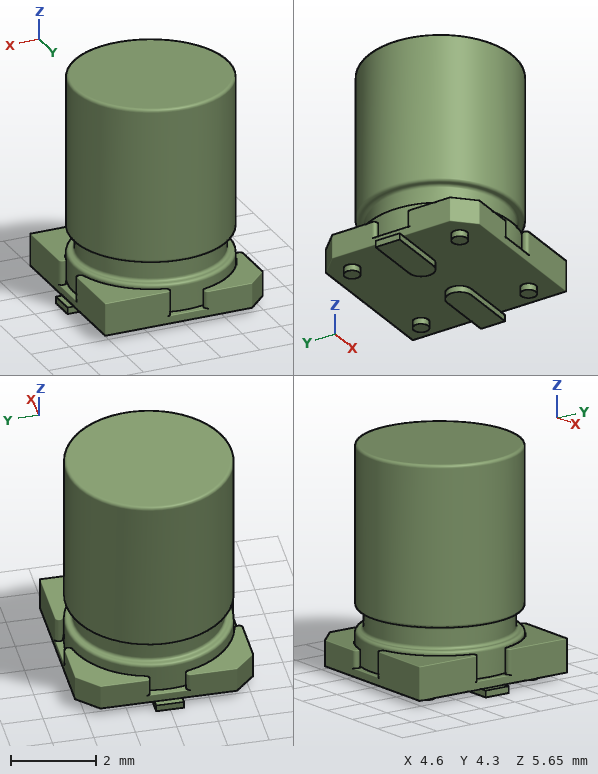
import cadquery as cq

total_height = 5.65
lead_span = 4.6
base_width = 4.3

can_radius = 4.0 / 2
neck_radius = 3.6 / 2
can_fillet = 0.08
upper_crimp_z = 1.665
lower_crimp_z = 1.11

base_bottom = 0.17
low_corner_top = 0.82
high_corner_top = 1.01
notch_floor = 0.385
notch_width = 0.875
post_fillet = 0.09
corner_cut = 0.505
edge_round = 0.02
bore_clearance = 0.02

lead_width = 0.67
lead_inner_end = 0.5
peg_diameter = 0.4
peg_spacing = 3.005

half_base = base_width / 2
tolerance = 0.0005


def make_can():
    """Revolve the can outline: rounded top edge and an S-shaped step at each end of the neck."""
    profile = (
        cq.Workplane("XZ")
        .moveTo(0, notch_floor)
        .lineTo(can_radius, notch_floor)
        .lineTo(can_radius, lower_crimp_z - can_fillet)
        .radiusArc((can_radius - can_fillet, lower_crimp_z), -can_fillet)
        .lineTo(neck_radius + can_fillet, lower_crimp_z)
        .radiusArc((neck_radius, lower_crimp_z + can_fillet), can_fillet)
        .lineTo(neck_radius, upper_crimp_z - can_fillet)
        .radiusArc((neck_radius + can_fillet, upper_crimp_z), can_fillet)
        .lineTo(can_radius - can_fillet, upper_crimp_z)
        .radiusArc((can_radius, upper_crimp_z + can_fillet), -can_fillet)
        .lineTo(can_radius, total_height - can_fillet)
        .radiusArc((can_radius - can_fillet, total_height), -can_fillet)
        .lineTo(0, total_height)
        .close()
    )
    return profile.revolve(360, (0, 0), (0, 1))


def make_plate(top):
    """Square base block up to the given height, both -X corners cut off and upright edges rounded."""
    return (
        cq.Workplane("XY", origin=(0, 0, base_bottom))
        .rect(base_width, base_width)
        .extrude(top - base_bottom)
        .edges("|Z and <X")
        .chamfer(corner_cut)
        .edges("|Z")
        .fillet(edge_round)
    )


def is_at_tip(edge):
    """True for an upright post edge beside a notch, false for the outer corner of the post."""
    center = edge.Center()
    return min(abs(center.x), abs(center.y)) < half_base / 2


def make_corner_post(x_side, y_side, top):
    """Corner block standing on the notch floor, hollowed for the can and rounded at both tips."""
    post_size = half_base - notch_width / 2
    post_center = (half_base + notch_width / 2) / 2
    height = top - notch_floor
    floor_plane = cq.Workplane("XY", origin=(0, 0, notch_floor))
    bore = floor_plane.circle(can_radius + bore_clearance).extrude(height)
    post = (
        floor_plane.center(x_side * post_center, y_side * post_center)
        .rect(post_size, post_size)
        .extrude(height)
        .cut(bore)
    )
    post = post.edges("|Z").filter(is_at_tip).fillet(post_fillet)
    return post.intersect(make_plate(top))


def is_on_notch_sill(edge):
    """True for the outer edge of the notch floor, midway along a side of the base."""
    center = edge.Center()
    on_outer_side = max(abs(center.x), abs(center.y)) > half_base - tolerance
    return on_outer_side and abs(center.z - notch_floor) < tolerance


def make_base():
    """Floor plate with four corner posts; the posts on the +X side are taller."""
    base = make_plate(notch_floor)
    for x_side, top in ((-1, low_corner_top), (1, high_corner_top)):
        for y_side in (-1, 1):
            base = base.union(make_corner_post(x_side, y_side, top))

    base = base.faces("<Z").edges().fillet(edge_round)
    for top in (low_corner_top, high_corner_top):
        post_tops = base.faces("+Z").filter(lambda face: abs(face.Center().z - top) < tolerance)
        base = post_tops.edges().fillet(edge_round)
    return base.edges().filter(is_on_notch_sill).fillet(edge_round)


def make_lead(x_side):
    """Flat lead reaching out under the base, with a full-round inner end."""
    end_radius = lead_width / 2
    end_center = lead_inner_end + end_radius
    bar_length = lead_span / 2 - end_center
    bar = (
        cq.Workplane("XY")
        .center(x_side * (end_center + bar_length / 2), 0)
        .rect(bar_length, lead_width)
        .extrude(base_bottom)
    )
    round_end = cq.Workplane("XY").center(x_side * end_center, 0).circle(end_radius).extrude(base_bottom)
    return bar.union(round_end)


def make_pegs():
    """Four round standoff pegs under the base."""
    return (
        cq.Workplane("XY")
        .rect(peg_spacing, peg_spacing, forConstruction=True)
        .vertices()
        .circle(peg_diameter / 2)
        .extrude(base_bottom)
    )


result = make_base().union(make_can()).union(make_pegs())
for side in (-1, 1):
    result = result.union(make_lead(side))